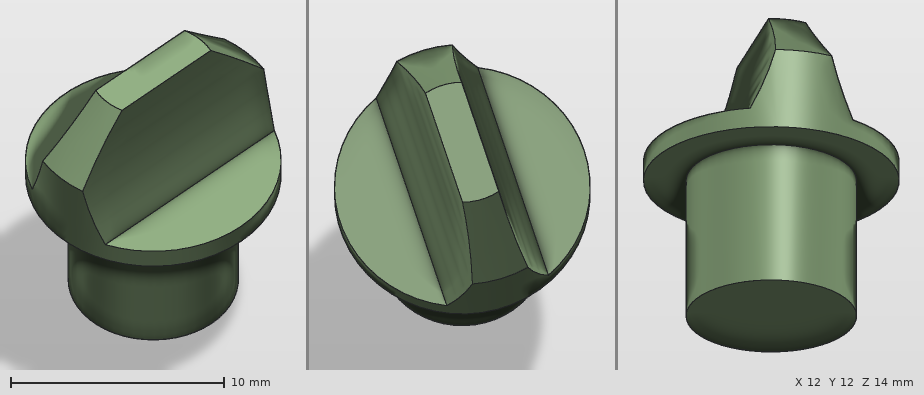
import cadquery as cq

shaft_diameter = 8.0
shaft_length = 7.0
flange_diameter = 12.0
flange_thickness = 1.0

grip_height = 6.0
grip_base_width = 5.0
grip_top_width = 1.8
grip_side_radius = 15.0
grip_chamfer = 3.0

flange_top = shaft_length + flange_thickness
grip_top = flange_top + grip_height


def make_shaft():
    return cq.Workplane("XY").circle(shaft_diameter / 2).extrude(shaft_length)


def make_flange():
    return (
        cq.Workplane("XY")
        .workplane(offset=shaft_length)
        .circle(flange_diameter / 2)
        .extrude(flange_thickness)
    )


def make_grip():
    """Blade running along Y, trimmed to the bevelled flange cylinder."""
    half_base = grip_base_width / 2
    half_top = grip_top_width / 2
    blade = (
        cq.Workplane("XZ")
        .moveTo(-half_base, flange_top)
        .lineTo(half_base, flange_top)
        .radiusArc((half_top, grip_top), grip_side_radius)
        .lineTo(-half_top, grip_top)
        .radiusArc((-half_base, flange_top), grip_side_radius)
        .close()
        .extrude(flange_diameter / 2, both=True)
    )
    envelope = (
        cq.Workplane("XY")
        .workplane(offset=flange_top)
        .circle(flange_diameter / 2)
        .extrude(grip_height)
        .faces(">Z")
        .chamfer(grip_chamfer)
    )
    return blade.intersect(envelope)


result = make_shaft().union(make_flange()).union(make_grip())